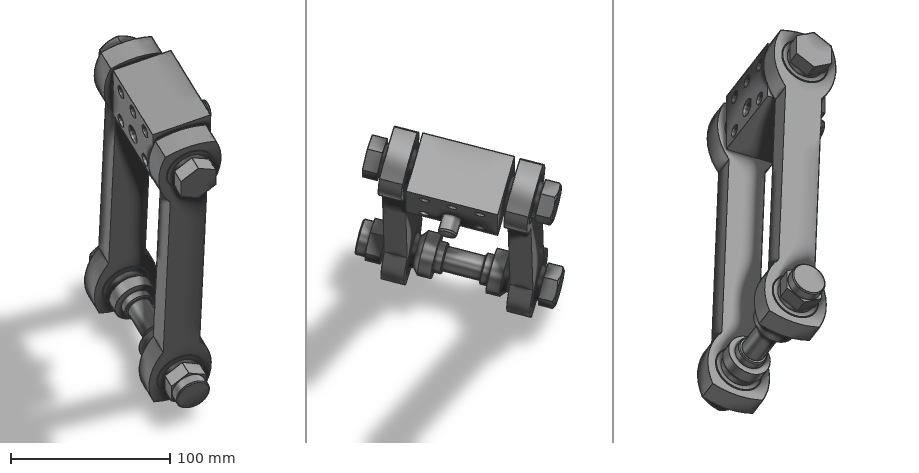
import cadquery as cq
import math


link_offset = 41.0
link_width = 15.0
link_tilt = 2.0
eye_half_width = 21.5
eye_reach = 21.5
corner_across = 17.5
corner_along = 18.5
end_sagitta = eye_reach - corner_along
end_radius = (corner_across ** 2 + end_sagitta ** 2) / (2 * end_sagitta)
neck_half_width = 12.6
neck_along = 25.5

overall_height = 233.9
tilt = math.radians(link_tilt)
eye_rise = end_radius - (end_radius - eye_reach) * math.cos(tilt)
link_length = (overall_height - 2 * eye_rise) / math.cos(tilt)
lower_pivot_y = -link_length * math.sin(tilt)
lower_pivot_z = -link_length * math.cos(tilt)

race_diameter = 32.0
race_chamfer = 0.5
ball_diameter = 29.0
ball_half_width = 10.5
ball_inner = link_offset - ball_half_width
ball_outer = link_offset + ball_half_width

hex_across_flats = 24.0
hex_across_corners = hex_across_flats / math.cos(math.radians(30))
head_height = 10.5
head_face_diameter = 23.5
head_chamfer_angle = 30.0
nut_height = 9.8

pivot_diameter = 16.0
spacer_sleeve_diameter = 20.0
spacer_sleeve_end = 12.5
spacer_flange_start = 18.0
spacer_cone_start = 26.7
spacer_flange_diameter = 29.0
spacer_tip_diameter = 20.5
spacer_chamfer = 0.7
nut_collar_diameter = 23.0
nut_collar_length = 6.8
nut_collar_chamfer = 0.7

block_width = 59.6
block_depth = 40.0
block_height = 42.0
block_top = 21.5
block_front = -17.0
block_back = block_front + block_depth
boss_diameter = 25.0

hole_pitch = 18.0
hole_top_z = 12.9
hole_bottom_z = -14.3
hole_diameter = 6.5
counterbore_diameter = 8.5
counterbore_depth = 19.9
hole_places = [
    (-hole_pitch, hole_top_z), (0, hole_top_z), (hole_pitch, hole_top_z),
    (-hole_pitch, hole_bottom_z), (hole_pitch, hole_bottom_z),
]

dowel_diameter = 12.0
dowel_z = -8.5
dowel_length = 30.0
dowel_tip_y = 35.5
dowel_chamfer_length = 1.5
dowel_chamfer_depth = 0.5
dowel_dome_height = 1.2


def cylinder_x(diameter, start, end):
    """Cylinder on the X axis from start to end."""
    return cq.Workplane("YZ").workplane(offset=start).circle(diameter / 2).extrude(end - start)


def hexagon_x(start, height):
    """Hexagonal prism along X with corners at its top and bottom."""
    prism = cq.Workplane("YZ").polygon(6, hex_across_corners).extrude(height)
    return prism.rotate((0, 0, 0), (1, 0, 0), 90).translate((start, 0, 0))


def ball_joint(center):
    """Race filling a link's bore, with the ball standing out on both sides."""
    race = cylinder_x(race_diameter, center - link_width / 2, center + link_width / 2)
    race = race.edges().chamfer(race_chamfer)
    flat_radius = math.sqrt((ball_diameter / 2) ** 2 - ball_half_width ** 2)
    ball = (
        cq.Workplane("XY")
        .moveTo(-ball_half_width, 0)
        .lineTo(-ball_half_width, flat_radius)
        .threePointArc((0, ball_diameter / 2), (ball_half_width, flat_radius))
        .lineTo(ball_half_width, 0)
        .close()
        .revolve(360, (0, 0, 0), (1, 0, 0))
        .translate((center, 0, 0))
    )
    return race.union(ball)


def bolt_head():
    """Hexagonal head at the -X end, its outer corners turned off to a cone."""
    face_x = -ball_outer - head_height
    cone_growth = head_height / math.tan(math.radians(head_chamfer_angle))
    cone = (
        cq.Workplane("YZ").workplane(offset=face_x).circle(head_face_diameter / 2)
        .workplane(offset=head_height).circle(head_face_diameter / 2 + cone_growth).loft()
    )
    return hexagon_x(face_x, head_height).intersect(cone)


def pivot_ends():
    """Both ball joints, the bolt head at -X and the nut at +X, in matching order."""
    nut = hexagon_x(ball_outer, nut_height)
    return [ball_joint(-link_offset), bolt_head(), ball_joint(link_offset), nut]


def make_link(center):
    """Straight bar with a barrel-shaped eye at each end, bored for the races."""
    far_corner = link_length + corner_along
    far_neck = link_length - neck_along
    outline = (
        cq.Workplane("YZ").workplane(offset=center - link_width / 2)
        .moveTo(-neck_half_width, -neck_along)
        .threePointArc((-eye_half_width, 0), (-corner_across, corner_along))
        .threePointArc((0, eye_reach), (corner_across, corner_along))
        .threePointArc((eye_half_width, 0), (neck_half_width, -neck_along))
        .lineTo(neck_half_width, -far_neck)
        .threePointArc((eye_half_width, -link_length), (corner_across, -far_corner))
        .threePointArc((0, -link_length - eye_reach), (-corner_across, -far_corner))
        .threePointArc((-eye_half_width, -link_length), (-neck_half_width, -far_neck))
        .close()
    )
    bar = outline.extrude(link_width)
    bore = cylinder_x(race_diameter, center - link_width / 2, center + link_width / 2)
    bar = bar.cut(bore).cut(bore.translate((0, 0, -link_length)))
    return bar.rotate((0, 0, 0), (1, 0, 0), -link_tilt)


def make_lower_pivot():
    """Bolt, spacers, ball joints and lock nut as one body."""
    pivot_radius = pivot_diameter / 2
    sleeve_radius = spacer_sleeve_diameter / 2
    flange_radius = spacer_flange_diameter / 2
    spacer = (
        cq.Workplane("XY")
        .moveTo(0, 0)
        .lineTo(0, pivot_radius)
        .lineTo(spacer_sleeve_end, pivot_radius)
        .lineTo(spacer_sleeve_end, sleeve_radius - spacer_chamfer)
        .lineTo(spacer_sleeve_end + spacer_chamfer, sleeve_radius)
        .lineTo(spacer_flange_start, sleeve_radius)
        .lineTo(spacer_flange_start, flange_radius)
        .lineTo(spacer_cone_start, flange_radius)
        .lineTo(ball_inner, spacer_tip_diameter / 2)
        .lineTo(ball_inner, 0)
        .close()
        .revolve(360, (0, 0, 0), (1, 0, 0))
    )
    collar_start = ball_outer + nut_height
    collar = cylinder_x(nut_collar_diameter, collar_start, collar_start + nut_collar_length)
    collar = collar.faces(">X").chamfer(nut_collar_chamfer)
    pivot = spacer.union(spacer.mirror("YZ")).union(collar)
    for part in pivot_ends():
        pivot = pivot.union(part)
    return pivot.translate((0, lower_pivot_y, lower_pivot_z))


def make_dowel():
    """Round pin with a chamfer and a shallow dome at each end."""
    radius = dowel_diameter / 2
    edge_radius = radius - dowel_chamfer_depth
    half_length = dowel_length / 2
    dome_start = half_length - dowel_dome_height
    side_end = dome_start - dowel_chamfer_length
    dome_radius = (edge_radius ** 2 + dowel_dome_height ** 2) / (2 * dowel_dome_height)
    dome_mid_radius = edge_radius / 2
    dome_mid = half_length - dome_radius + math.sqrt(dome_radius ** 2 - dome_mid_radius ** 2)
    pin = (
        cq.Workplane("XY")
        .moveTo(0, -half_length)
        .threePointArc((dome_mid_radius, -dome_mid), (edge_radius, -dome_start))
        .lineTo(radius, -side_end)
        .lineTo(radius, side_end)
        .lineTo(edge_radius, dome_start)
        .threePointArc((dome_mid_radius, dome_mid), (0, half_length))
        .close()
        .revolve(360, (0, 0, 0), (0, 1, 0))
    )
    return pin.translate((0, dowel_tip_y - half_length, dowel_z))


def drill_y(diameter, places, depth):
    """Cylinders going into the block from its front face."""
    front = cq.Workplane("XZ", origin=(0, block_front, 0))
    return front.pushPoints(places).circle(diameter / 2).extrude(-depth)


def make_block():
    """Drilled block with a boss, ball joint and hexagon at each end."""
    block = (
        cq.Workplane("XY")
        .box(block_width, block_depth, block_height)
        .translate((0, (block_front + block_back) / 2, block_top - block_height / 2))
    )
    block = block.cut(drill_y(hole_diameter, hole_places, block_depth))
    block = block.cut(drill_y(counterbore_diameter, hole_places, counterbore_depth))
    block = block.cut(drill_y(dowel_diameter, [(0, dowel_z)], block_depth))
    boss = cylinder_x(boss_diameter, block_width / 2, ball_inner)
    block = block.union(boss).union(boss.mirror("YZ"))
    for part in pivot_ends():
        block = block.union(part)
    return block


links = [make_link(side * link_offset) for side in (-1, 1)]
lower_pivot = make_lower_pivot()
block = make_block()
dowel = make_dowel()

result = cq.Compound.makeCompound(
    [block.val(), dowel.val(), lower_pivot.val()] + [link.val() for link in links]
)